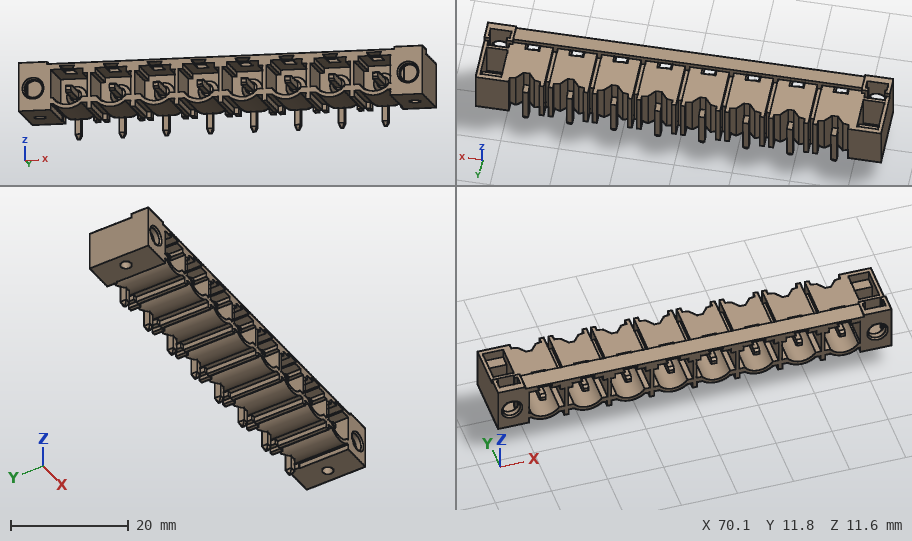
import cadquery as cq
import math


LENGTH = 70.14
DEPTH = 11.75
HEIGHT = 8.4
PIN_PROTRUSION = 3.2

POLES = 8
PITCH = 7.62
FIRST_POLE_X = -PITCH * (POLES - 1) / 2
POLE_XS = [FIRST_POLE_X + PITCH * i for i in range(POLES)]
WALL_XS = [x + PITCH / 2 for x in POLE_XS[:-1]]
AXIS_Z = 3.87

BODY_TOP = 7.6
BODY_BOTTOM = 1.05
TROUGH_OUTER_RADIUS = 3.75
TROUGH_RADIUS = 3.05

SOCKET_DEPTH = 8.3
SOCKET_TOP = 6.98
SOCKET_STEP_BOTTOM = 2.12
SOCKET_STEP_TOP = 6.15
SOCKET_HALF_WIDTH = 3.49
SOCKET_STEP_HALF_WIDTH = 2.72
SOCKET_END_HALF_WIDTH = 2.85
KEYWAY_TOP_WIDTH = 2.5
KEYWAY_BOTTOM_WIDTH = 1.9
KEYWAY_DEPTH = 4.0

COLLAR_BASE_DIAMETER = 3.5
COLLAR_TIP_DIAMETER = 2.0
COLLAR_LENGTH = 1.0

SLOT_WIDTH = 0.8
WEB_WIDTH = SLOT_WIDTH
SLOT_FLOOR = 6.6
SPLIT_START = 9.75

NOTCH_HALF_WIDTH = 2.65
NOTCH_SHOULDER_Y = 10.85
NOTCH_KNEE_HALF_WIDTH = 1.6
NOTCH_KNEE_Y = 10.65

BAR_HALF_LENGTH = 30.17
BAR_FRONT_HEIGHT = 8.0
BAR_RIDGE_Y = 2.75
BAR_BACK_Y = 2.95

FLANGE_INNER_X = POLE_XS[-1] + SOCKET_END_HALF_WIDTH
FLANGE_X = 32.58
FLANGE_BLOCK_DEPTH = 3.4
POCKET_WIDTH = 3.65
POCKET_FLOOR = 1.5
NUT_POCKET_FRONT = 1.27
NUT_POCKET_BACK = 4.25
NUT_RIB_FRONT = 2.75
NUT_RIB_INNER_WIDTH = 0.5
NUT_RIB_OUTER_WIDTH = 0.25
REAR_POCKET_FRONT = 4.85
REAR_POCKET_BACK = 10.9
REAR_STEP_Y = 8.9
REAR_STEP_Z = 5.9
SCREW_HOLE_DIAMETER = 3.1
SCREW_CHAMFER = 0.3
BOARD_HOLE_DIAMETER = 1.95
BOARD_HOLE_Y = 5.98

PIN_SIZE = 1.2
PIN_WIDTH = 1.0
PIN_FRONT_Y = 1.0
LEG_FRONT_Y = 9.3
BEND_BEVEL_DROP = 0.6
LEG_TIP_LENGTH = 0.8
LEG_TIP_SIZE = 0.4
CONTACT_TIP_LENGTH = 0.6
CONTACT_TIP_WIDTH = 0.9
CONTACT_TIP_HEIGHT = 0.6


def block(x0, x1, y0, y1, z0, z1):
    """Box between two opposite corners."""
    return cq.Workplane("XY").box(x1 - x0, y1 - y0, z1 - z0, centered=False).translate((x0, y0, z0))


def front_sketch(y=0.0):
    """Workplane in X and Z at depth y; a negative extrusion goes towards +Y."""
    return cq.Workplane("XZ", origin=(0, y, 0))


def trough_belly(x):
    """Rounded underside below one socket."""
    drop = AXIS_Z - BODY_BOTTOM
    half_chord = math.sqrt(TROUGH_OUTER_RADIUS**2 - drop**2)
    return (
        front_sketch()
        .moveTo(x - half_chord, BODY_BOTTOM)
        .threePointArc((x, AXIS_Z - TROUGH_OUTER_RADIUS), (x + half_chord, BODY_BOTTOM))
        .close()
        .extrude(-DEPTH)
    )


def side_walls(x, sign):
    """Outline points of one side of a socket, from its roof down to its trough."""
    arc_half_width = math.sqrt(TROUGH_RADIUS**2 - (AXIS_Z - SOCKET_STEP_BOTTOM) ** 2)
    at_flange = abs(x + sign * PITCH) > abs(POLE_XS[0]) + PITCH / 2
    if at_flange:
        points = [
            (SOCKET_END_HALF_WIDTH, SOCKET_TOP),
            (SOCKET_END_HALF_WIDTH, SOCKET_STEP_BOTTOM),
        ]
    else:
        points = [
            (SOCKET_STEP_HALF_WIDTH, SOCKET_TOP),
            (SOCKET_STEP_HALF_WIDTH, SOCKET_STEP_TOP),
            (SOCKET_HALF_WIDTH, SOCKET_STEP_TOP),
            (SOCKET_HALF_WIDTH, SOCKET_STEP_BOTTOM),
        ]
    points.append((arc_half_width, SOCKET_STEP_BOTTOM))
    return [(x + sign * offset, z) for offset, z in points]


def socket(x):
    """Cavity of one pole with its dovetail keyway in the roof, less the collar around the pin."""
    left = side_walls(x, -1)
    right = side_walls(x, 1)
    cavity = (
        front_sketch()
        .polyline(left)
        .threePointArc((x, AXIS_Z - TROUGH_RADIUS), right[-1])
        .polyline(right[::-1], includeCurrent=False)
        .close()
        .extrude(-SOCKET_DEPTH)
    )
    keyway = (
        front_sketch()
        .polyline([
            (x - KEYWAY_TOP_WIDTH / 2, BODY_TOP),
            (x + KEYWAY_TOP_WIDTH / 2, BODY_TOP),
            (x + KEYWAY_BOTTOM_WIDTH / 2, SOCKET_TOP),
            (x - KEYWAY_BOTTOM_WIDTH / 2, SOCKET_TOP),
        ])
        .close()
        .extrude(-KEYWAY_DEPTH)
    )
    collar = (
        front_sketch(SOCKET_DEPTH)
        .center(x, AXIS_Z)
        .circle(COLLAR_BASE_DIAMETER / 2)
        .workplane(offset=COLLAR_LENGTH)
        .circle(COLLAR_TIP_DIAMETER / 2)
        .loft()
    )
    return cavity.union(keyway).cut(collar)


def rear_notch(x):
    """Clearance behind one pole that ends against the front of the pin leg."""
    half_outline = [
        (NOTCH_HALF_WIDTH, DEPTH),
        (NOTCH_HALF_WIDTH, NOTCH_SHOULDER_Y),
        (NOTCH_KNEE_HALF_WIDTH, NOTCH_KNEE_Y),
        (PIN_WIDTH / 2, LEG_FRONT_Y),
    ]
    right = [(x + offset, y) for offset, y in half_outline]
    left = [(x - offset, y) for offset, y in half_outline]
    return cq.Workplane("XY").polyline(right + left[::-1]).close().extrude(HEIGHT)


def contact_hole(x):
    """Rectangular passage for the horizontal part of one pin."""
    half_x = PIN_WIDTH / 2
    half_z = PIN_SIZE / 2
    return block(x - half_x, x + half_x, PIN_FRONT_Y, LEG_FRONT_Y, AXIS_Z - half_z, AXIS_Z + half_z)


def wall_foot(x):
    """Web below the body between two poles, widened to the ears at the rear."""
    half_ear = PITCH / 2 - NOTCH_HALF_WIDTH
    web = block(x - WEB_WIDTH / 2, x + WEB_WIDTH / 2, 0, DEPTH, 0, BODY_BOTTOM)
    ear = block(x - half_ear, x + half_ear, SPLIT_START, DEPTH, 0, BODY_BOTTOM)
    return web.union(ear)


def wall_slot(x):
    """Groove on top of the wall between two poles, running full height through the ears."""
    half = SLOT_WIDTH / 2
    groove = block(x - half, x + half, BAR_BACK_Y, DEPTH, SLOT_FLOOR, BODY_TOP)
    split = block(x - half, x + half, SPLIT_START, DEPTH, 0, BODY_TOP)
    return groove.union(split)


def top_bar():
    """Ramped bar along the front of the top face."""
    return (
        cq.Workplane("YZ", origin=(-BAR_HALF_LENGTH, 0, 0))
        .polyline([
            (0, BODY_TOP),
            (0, BAR_FRONT_HEIGHT),
            (BAR_RIDGE_Y, HEIGHT),
            (BAR_BACK_Y, HEIGHT),
            (BAR_BACK_Y, BODY_TOP),
        ])
        .close()
        .extrude(2 * BAR_HALF_LENGTH)
    )


def flange():
    """Right-hand flange, without its pockets."""
    end = LENGTH / 2
    ear_inner_x = POLE_XS[-1] + NOTCH_HALF_WIDTH
    base = block(FLANGE_INNER_X, end, 0, DEPTH, 0, BODY_TOP)
    ear = block(ear_inner_x, end, SPLIT_START, DEPTH, 0, BODY_TOP)
    front_block = block(BAR_HALF_LENGTH, end, 0, FLANGE_BLOCK_DEPTH, BODY_TOP, HEIGHT)
    return base.union(ear).union(front_block)


def flange_cuts():
    """Nut pocket, rear pocket, screw hole and board hole of the right-hand flange."""
    x0 = FLANGE_X - POCKET_WIDTH / 2
    x1 = FLANGE_X + POCKET_WIDTH / 2
    nut_pocket = block(x0, x1, NUT_POCKET_FRONT, NUT_POCKET_BACK, POCKET_FLOOR, HEIGHT)
    for rib_x0, rib_x1 in ((x0, x0 + NUT_RIB_INNER_WIDTH), (x1 - NUT_RIB_OUTER_WIDTH, x1)):
        rib = block(rib_x0, rib_x1, NUT_RIB_FRONT, FLANGE_BLOCK_DEPTH, POCKET_FLOOR, HEIGHT)
        nut_pocket = nut_pocket.cut(rib)
    rear_pocket = block(x0, x1, REAR_POCKET_FRONT, REAR_POCKET_BACK, POCKET_FLOOR, BODY_TOP)
    rear_step = block(x0, x1, REAR_STEP_Y, REAR_POCKET_BACK, POCKET_FLOOR, REAR_STEP_Z)
    screw_hole = (
        front_sketch()
        .center(FLANGE_X, AXIS_Z)
        .circle(SCREW_HOLE_DIAMETER / 2)
        .extrude(-NUT_POCKET_FRONT)
    )
    screw_chamfer = (
        front_sketch()
        .center(FLANGE_X, AXIS_Z)
        .circle(SCREW_HOLE_DIAMETER / 2 + SCREW_CHAMFER)
        .workplane(offset=-SCREW_CHAMFER)
        .circle(SCREW_HOLE_DIAMETER / 2)
        .loft()
    )
    board_hole = (
        cq.Workplane("XY")
        .center(FLANGE_X, BOARD_HOLE_Y)
        .circle(BOARD_HOLE_DIAMETER / 2)
        .extrude(POCKET_FLOOR)
    )
    return (
        nut_pocket
        .union(rear_pocket.cut(rear_step))
        .union(screw_hole)
        .union(screw_chamfer)
        .union(board_hole)
    )


def make_housing():
    body = block(-FLANGE_INNER_X, FLANGE_INNER_X, 0, DEPTH, BODY_BOTTOM, BODY_TOP)
    for x in POLE_XS:
        body = body.union(trough_belly(x))
    for x in WALL_XS:
        body = body.union(wall_foot(x))
    body = body.union(top_bar())
    body = body.union(flange()).union(flange().mirror("YZ"))
    body = body.cut(flange_cuts()).cut(flange_cuts().mirror("YZ"))
    for x in WALL_XS:
        body = body.cut(wall_slot(x))
    for x in POLE_XS:
        body = body.cut(socket(x)).cut(rear_notch(x)).cut(contact_hole(x))
    return body


def make_pin(x):
    """Right-angle pin with a bevelled outer corner and tapered ends."""
    half = PIN_SIZE / 2
    leg_shoulder_z = LEG_TIP_LENGTH - PIN_PROTRUSION
    contact_shoulder_y = PIN_FRONT_Y + CONTACT_TIP_LENGTH
    bend = (
        cq.Workplane("YZ", origin=(x - PIN_WIDTH / 2, 0, 0))
        .polyline([
            (contact_shoulder_y, AXIS_Z - half),
            (contact_shoulder_y, AXIS_Z + half),
            (LEG_FRONT_Y, AXIS_Z + half),
            (LEG_FRONT_Y + PIN_SIZE, AXIS_Z + half - BEND_BEVEL_DROP),
            (LEG_FRONT_Y + PIN_SIZE, leg_shoulder_z),
            (LEG_FRONT_Y, leg_shoulder_z),
            (LEG_FRONT_Y, AXIS_Z - half),
        ])
        .close()
        .extrude(PIN_WIDTH)
    )
    leg_tip = (
        cq.Workplane("XY", origin=(x, LEG_FRONT_Y + half, leg_shoulder_z))
        .rect(PIN_WIDTH, PIN_SIZE)
        .workplane(offset=-LEG_TIP_LENGTH)
        .rect(LEG_TIP_SIZE, LEG_TIP_SIZE)
        .loft()
    )
    contact_tip = (
        cq.Workplane("XZ", origin=(x, contact_shoulder_y, AXIS_Z))
        .rect(PIN_WIDTH, PIN_SIZE)
        .workplane(offset=CONTACT_TIP_LENGTH)
        .rect(CONTACT_TIP_WIDTH, CONTACT_TIP_HEIGHT)
        .loft()
    )
    return bend.union(leg_tip).union(contact_tip)


housing = make_housing()
pins = [make_pin(x) for x in POLE_XS]

result = cq.Compound.makeCompound([housing.val(), *[pin.val() for pin in pins]])